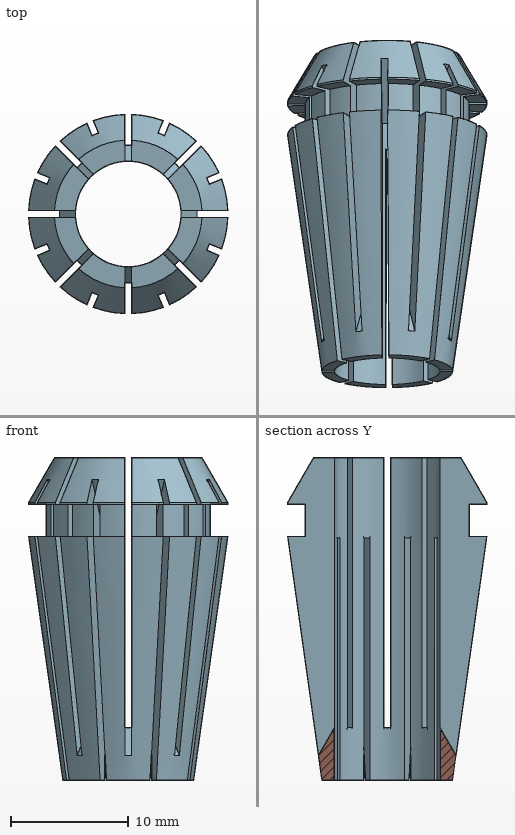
import cadquery as cq
import math

length = 27.5
max_diameter = 17.0
bore_diameter = 9.0
groove_diameter = 14.0
body_height = 20.8
groove_height = 2.72
rim_height = 0.16
body_angle = 8.0
head_angle = 30.0

slots_per_end = 8
slot_pitch = 360.0 / slots_per_end
slot_width = 0.58
slot_end_angle = 30.0
top_slot_end_height = 2.12
bottom_slot_end_height = 25.63
clearance = 1.38

max_radius = max_diameter / 2
bore_radius = bore_diameter / 2
groove_radius = groove_diameter / 2
head_base = body_height + groove_height
head_taper_base = head_base + rim_height
bottom_radius = max_radius - body_height * math.tan(math.radians(body_angle))


def head_radius(height):
    """Radius of the clamping taper at a given height."""
    return max_radius - (height - head_taper_base) * math.tan(math.radians(head_angle))


def body_radius(height):
    """Radius of the long taper at a given height."""
    return bottom_radius + height * math.tan(math.radians(body_angle))


def collet_blank():
    """Revolved sleeve: long taper, groove, rim, clamping taper and bore."""
    profile = [
        (bore_radius, 0),
        (bottom_radius, 0),
        (max_radius, body_height),
        (groove_radius, body_height),
        (groove_radius, head_base),
        (max_radius, head_base),
        (max_radius, head_taper_base),
        (head_radius(length), length),
        (bore_radius, length),
    ]
    return cq.Workplane("XZ").polyline(profile).close().revolve(360, (0, 0), (0, 1))


def slot_cutter(end_radius, end_height, end_slope, open_height):
    """Radial blade from the bore outwards; its sloped end passes through (end_radius, end_height)."""
    inner = bore_radius - clearance
    outer = max_radius + clearance
    inner_height = end_height + (inner - end_radius) * end_slope
    outer_height = end_height + (outer - end_radius) * end_slope
    outline = [
        (inner, inner_height),
        (outer, outer_height),
        (outer, open_height),
        (inner, open_height),
    ]
    return cq.Workplane("XZ").polyline(outline).close().extrude(slot_width / 2, both=True)


def cut_around(body, cutter, first_angle):
    """Repeat a radial cut evenly about the axis."""
    for index in range(slots_per_end):
        angle = first_angle + index * slot_pitch
        body = body.cut(cutter.rotate((0, 0, 0), (0, 0, 1), angle))
    return body


end_slope = 1 / math.tan(math.radians(slot_end_angle))
top_slot = slot_cutter(
    body_radius(top_slot_end_height), top_slot_end_height, -end_slope, length + clearance
)
bottom_slot = slot_cutter(
    head_radius(bottom_slot_end_height), bottom_slot_end_height, end_slope, -clearance
)

result = collet_blank()
result = cut_around(result, top_slot, 0)
result = cut_around(result, bottom_slot, slot_pitch / 2)